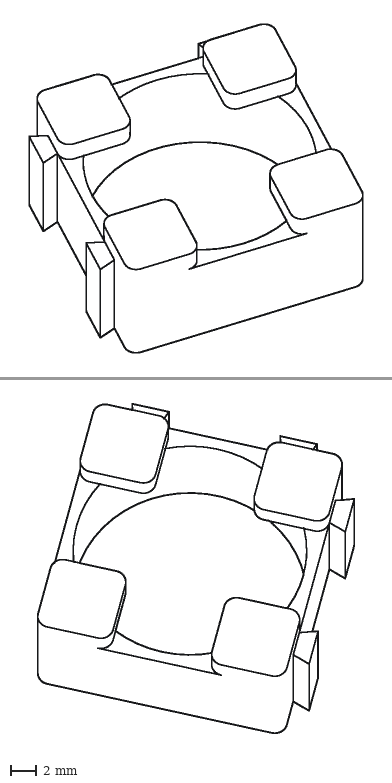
import cadquery as cq

overall_side = 21.6
overall_height = 10.0

rail_depth = 1.4
body_side = overall_side - rail_depth
body_height = 8.2
bore_diameter = 18.4
corner_radius = 1.0

pad_side = 6.1
pad_height = overall_height - body_height

rail_root_width = 2.0
rail_tip_width = 3.0
rail_spacing = 12.0
rail_overlap = 0.22

half_body = body_side / 2


def rounded_block(side, height):
    """Square block on Z = 0 with rounded vertical edges."""
    block = cq.Workplane("XY").box(side, side, height, centered=(True, True, False))
    return block.edges("|Z").fillet(corner_radius)


def dovetail_rail(offset):
    """Full-height rail on the -Y side, widening outward, centred at X = offset."""
    wall = -half_body
    half_root = rail_root_width / 2
    half_tip = rail_tip_width / 2
    return (
        cq.Workplane("XY")
        .polyline([
            (offset - half_root, wall + rail_overlap),
            (offset - half_root, wall),
            (offset - half_tip, wall - rail_depth),
            (offset + half_tip, wall - rail_depth),
            (offset + half_root, wall),
            (offset + half_root, wall + rail_overlap),
        ])
        .close()
        .extrude(body_height)
    )


body = rounded_block(body_side, body_height)
bore = cq.Workplane("XY").circle(bore_diameter / 2).extrude(body_height)
result = body.cut(bore)

pad_offset = (body_side - pad_side) / 2
pad = rounded_block(pad_side, pad_height)
for x_sign in (-1, 1):
    for y_sign in (-1, 1):
        pad_place = (x_sign * pad_offset, y_sign * pad_offset, body_height)
        result = result.union(pad.translate(pad_place))

for side_sign in (-1, 1):
    rail = dovetail_rail(side_sign * rail_spacing / 2)
    result = result.union(rail)
    result = result.union(rail.rotate((0, 0, 0), (0, 0, 1), -90))